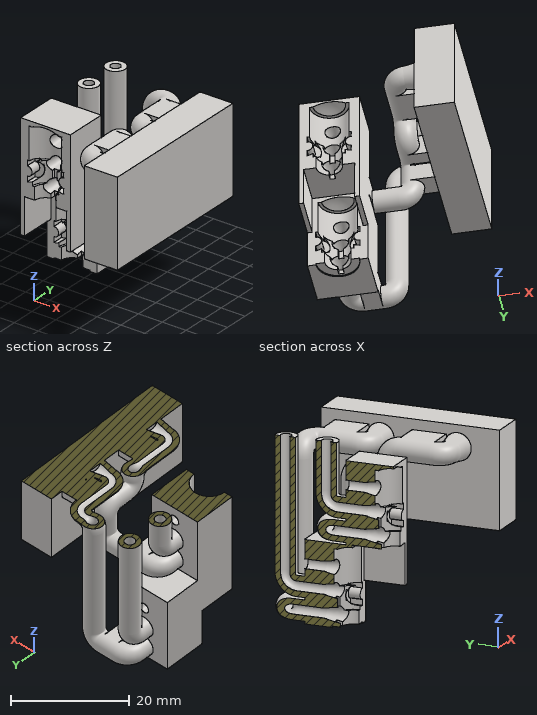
import cadquery as cq

TUBE_OD = 4.0
TUBE_ID = 1.93
FLARE_OD = 5.0
FLARE_ID = 2.95
BEND = 2.1
TUBE_R = TUBE_OD / 2
MIN_LENGTH = 1e-3

TOTAL_X = 29.18
TOTAL_Z = 32.9
PLATE_THICK = 6.95
PLATE_LENGTH = 33.0
PLATE_HEIGHT = 17.85
PLATE_X = TOTAL_X - PLATE_THICK

BLOCK_WIDTH = 10.5
BLOCK_DEPTH = 8.8
BLOCK_HEIGHT = 15.05
PITCH_Y = 7.58
PITCH_Z = 14.9
LOWER_BACK_Y = 28.35
LOWER_FRONT_Y = LOWER_BACK_Y - BLOCK_DEPTH
UPPER_BACK_Y = LOWER_BACK_Y - PITCH_Y
UPPER_FRONT_Y = UPPER_BACK_Y - BLOCK_DEPTH
SKIRT_DROP = 7.43
SKIRT_WALL = 0.85
MID_X = BLOCK_WIDTH / 2

BOTTOM_BORE_DIA = 4.5
MIDDLE_BORE_DIA = 5.5
TOP_BORE_DIA = 6.8
MIDDLE_BORE_Z = 2.75
TOP_BORE_Z = 7.0
BORE_CEILING_Z = 13.97
DOME_DIA = 5.6
DOME_RISE = 0.67
MOUTH_DIA = 7.5
MOUTH_HEIGHT = 0.25
KEYWAY_WIDTH = 0.93
KEYWAY_DEPTH = 3.3

LOW_PORT_Z = 2.4
MID_PORT_Z = 6.6
HIGH_PORT_Z = 10.7
PORT_TAPER_DEPTH = 5.3
PORT_MOUTH_DIA = 3.75

POCKET_OFFSET = 1.45
POCKET_Z = 5.29
POCKET_DEPTH = 2.2
POCKET_OD = 4.15
POCKET_ID = 2.0

OUTLET_SETBACK = 3.62
FEED_SETBACK = 4.11
LOWER_FEED_Y = LOWER_BACK_Y + FEED_SETBACK
UPPER_FEED_Y = UPPER_BACK_Y + FEED_SETBACK
HEADER_Z = 29.0
HEADER_X = 17.17
FEED_RISER_X = HEADER_X - 2 * BEND
FLARE_X = HEADER_X + BEND
LOWER_EXIT_Y = 21.98
UPPER_EXIT_Y = 7.75
JOG_Z = HEADER_Z - 2 * BEND
JOG_Y = 18.23


def box(x0, x1, y0, y1, z0, z1):
    return cq.Workplane("XY").box(x1 - x0, y1 - y0, z1 - z0, centered=False).translate((x0, y0, z0))


def elbow_path(points):
    """Wire through the points with rounded corners, and the direction it sets off in."""
    corners = [cq.Vector(*p) for p in points]
    edges = []
    start = corners[0]
    for before, corner, after in zip(corners, corners[1:], corners[2:]):
        toward_before = (before - corner).normalized()
        toward_after = (after - corner).normalized()
        arc_start = corner + toward_before * BEND
        arc_end = corner + toward_after * BEND
        inward = toward_before + toward_after
        arc_mid = corner + inward * (BEND * (1 - 0.5 ** 0.5))
        if (arc_start - start).Length > MIN_LENGTH:
            edges.append(cq.Edge.makeLine(start, arc_start))
        edges.append(cq.Edge.makeThreePointArc(arc_start, arc_mid, arc_end))
        start = arc_end
    if (corners[-1] - start).Length > MIN_LENGTH:
        edges.append(cq.Edge.makeLine(start, corners[-1]))
    return cq.Wire.assembleEdges(edges), corners[1] - corners[0]


def rod(points, diameter):
    path, direction = elbow_path(points)
    profile = cq.Workplane(cq.Plane(origin=points[0], normal=direction.toTuple()))
    return profile.circle(diameter / 2).sweep(cq.Workplane(path))


def flare(y, small_dia, large_dia):
    """Cone widening along +X into the plate face."""
    cone = cq.Solid.makeCone(small_dia / 2, large_dia / 2, PLATE_X - FLARE_X,
                             cq.Vector(FLARE_X, y, HEADER_Z), cq.Vector(1, 0, 0))
    return cq.Workplane(cone)


def half_bore(diameter, front_y, z0, z1):
    """Cylinder about the bore axis, to be cut from a block's front face."""
    cylinder = cq.Workplane("XY", origin=(MID_X, front_y, z0))
    return cylinder.circle(diameter / 2).extrude(z1 - z0)


def bore_dome(front_y, z):
    """Shallow spherical cap that closes the bore."""
    radius = ((DOME_DIA / 2) ** 2 + DOME_RISE ** 2) / (2 * DOME_RISE)
    ball = cq.Workplane("XY").sphere(radius).translate((MID_X, front_y, z + DOME_RISE - radius))
    return ball.intersect(half_bore(DOME_DIA, front_y, z, z + DOME_RISE))


def port(front_y, z):
    """Hole through the back wall, widening toward the bore axis."""
    toward_back = cq.Vector(0, 1, 0)
    taper = cq.Solid.makeCone(PORT_MOUTH_DIA / 2, TUBE_ID / 2, PORT_TAPER_DEPTH,
                              cq.Vector(MID_X, front_y, z), toward_back)
    straight = cq.Solid.makeCylinder(TUBE_ID / 2, BLOCK_DEPTH - PORT_TAPER_DEPTH,
                                     cq.Vector(MID_X, front_y + PORT_TAPER_DEPTH, z), toward_back)
    return cq.Workplane(taper).union(cq.Workplane(straight))


def side_pocket(front_y, z, x, inward):
    """Half ring sunk in the front face, its flat ends at x and its arch pointing inward."""
    face = cq.Workplane("XZ", origin=(x, front_y, z))
    ring = face.circle(POCKET_OD / 2).circle(POCKET_ID / 2).extrude(-POCKET_DEPTH)
    x_range = sorted((x, x + inward * POCKET_OD))
    return ring.intersect(box(*x_range, front_y, front_y + POCKET_DEPTH, z - POCKET_OD, z + POCKET_OD))


def valve_cavity(front_y, z):
    """Everything removed from one valve block whose bottom face is at z."""
    cavity = half_bore(BOTTOM_BORE_DIA, front_y, z, z + MIDDLE_BORE_Z)
    cavity = cavity.union(half_bore(MIDDLE_BORE_DIA, front_y, z + MIDDLE_BORE_Z, z + TOP_BORE_Z))
    cavity = cavity.union(half_bore(TOP_BORE_DIA, front_y, z + TOP_BORE_Z, z + BORE_CEILING_Z))
    cavity = cavity.union(bore_dome(front_y, z + BORE_CEILING_Z))
    half_key = KEYWAY_WIDTH / 2
    cavity = cavity.union(box(MID_X - half_key, MID_X + half_key, front_y, front_y + KEYWAY_DEPTH,
                              z, z + MID_PORT_Z))
    for port_z in (LOW_PORT_Z, MID_PORT_Z, HIGH_PORT_Z):
        cavity = cavity.union(port(front_y, z + port_z))
    for x, inward in ((POCKET_OFFSET, 1), (BLOCK_WIDTH - POCKET_OFFSET, -1)):
        cavity = cavity.union(side_pocket(front_y, z + POCKET_Z, x, inward))
    return cavity


def lower_block():
    block = box(0, BLOCK_WIDTH, LOWER_FRONT_Y, LOWER_BACK_Y, 0, BLOCK_HEIGHT)
    block = block.cut(valve_cavity(LOWER_FRONT_Y, 0))
    return block.cut(half_bore(MOUTH_DIA, LOWER_FRONT_Y, 0, MOUTH_HEIGHT))


def upper_block():
    """Valve block with two thin side walls that straddle the lower block."""
    skirt_z = PITCH_Z - SKIRT_DROP
    block = box(0, BLOCK_WIDTH, UPPER_FRONT_Y, UPPER_BACK_Y, skirt_z, PITCH_Z + BLOCK_HEIGHT)
    channel = box(SKIRT_WALL, BLOCK_WIDTH - SKIRT_WALL, UPPER_FRONT_Y, UPPER_BACK_Y,
                  skirt_z, BLOCK_HEIGHT)
    return block.cut(channel).cut(valve_cavity(UPPER_FRONT_Y, PITCH_Z))


def outlet_points(back_y, block_z):
    """Straight back from the middle port, then up to the open end."""
    axis_y = back_y + OUTLET_SETBACK
    port_z = block_z + MID_PORT_Z
    return [(MID_X, back_y, port_z), (MID_X, axis_y, port_z), (MID_X, axis_y, TOTAL_Z)]


def lower_feed_points():
    """Low port of the lower block to the plate."""
    return [
        (MID_X, LOWER_BACK_Y, LOW_PORT_Z),
        (MID_X, LOWER_FEED_Y, LOW_PORT_Z),
        (FEED_RISER_X, LOWER_FEED_Y, LOW_PORT_Z),
        (FEED_RISER_X, LOWER_FEED_Y, HEADER_Z),
        (HEADER_X, LOWER_FEED_Y, HEADER_Z),
        (HEADER_X, LOWER_EXIT_Y, HEADER_Z),
        (FLARE_X, LOWER_EXIT_Y, HEADER_Z),
    ]


def upper_feed_points():
    """Low port of the upper block to the plate."""
    port_z = PITCH_Z + LOW_PORT_Z
    return [
        (MID_X, UPPER_BACK_Y, port_z),
        (MID_X, UPPER_FEED_Y, port_z),
        (HEADER_X, UPPER_FEED_Y, port_z),
        (HEADER_X, UPPER_FEED_Y, JOG_Z),
        (HEADER_X, JOG_Y, JOG_Z),
        (HEADER_X, JOG_Y, HEADER_Z),
        (HEADER_X, UPPER_EXIT_Y, HEADER_Z),
        (FLARE_X, UPPER_EXIT_Y, HEADER_Z),
    ]


def plate_web(y0, y1, z0, z1):
    """Support from a straight tube run to the plate."""
    return box(HEADER_X, PLATE_X, y0, y1, z0, z1)


def block_web(back_y, feed_y, port_z):
    """Support from a feed tube's sideways run to the block behind which it passes."""
    return box(MID_X + BEND, BLOCK_WIDTH, back_y, feed_y, port_z - TUBE_R, port_z + TUBE_R)


def webs():
    header = (HEADER_Z - TUBE_R, HEADER_Z + TUBE_R)
    jog = (JOG_Z - TUBE_R, JOG_Z + TUBE_R)
    upper_low_z = PITCH_Z + LOW_PORT_Z
    return [
        plate_web(LOWER_EXIT_Y + BEND, LOWER_FEED_Y - BEND, *header),
        plate_web(UPPER_EXIT_Y + BEND, JOG_Y - BEND, *header),
        plate_web(JOG_Y + BEND, UPPER_FEED_Y - BEND, *jog),
        plate_web(UPPER_FEED_Y - TUBE_R, UPPER_FEED_Y + TUBE_R, upper_low_z + BEND, JOG_Z - BEND),
        block_web(LOWER_BACK_Y, LOWER_FEED_Y, LOW_PORT_Z),
        block_web(UPPER_BACK_Y, UPPER_FEED_Y, upper_low_z),
    ]


tube_routes = [
    outlet_points(LOWER_BACK_Y, 0),
    outlet_points(UPPER_BACK_Y, PITCH_Z),
    lower_feed_points(),
    upper_feed_points(),
]

result = box(PLATE_X, TOTAL_X, 0, PLATE_LENGTH, TOTAL_Z - PLATE_HEIGHT, TOTAL_Z)
result = result.union(lower_block()).union(upper_block())
for web in webs():
    result = result.union(web)
for route in tube_routes:
    result = result.union(rod(route, TUBE_OD))
for exit_y in (LOWER_EXIT_Y, UPPER_EXIT_Y):
    result = result.union(flare(exit_y, TUBE_OD, FLARE_OD))
for route in tube_routes:
    result = result.cut(rod(route, TUBE_ID))
for exit_y in (LOWER_EXIT_Y, UPPER_EXIT_Y):
    result = result.cut(flare(exit_y, TUBE_ID, FLARE_ID))